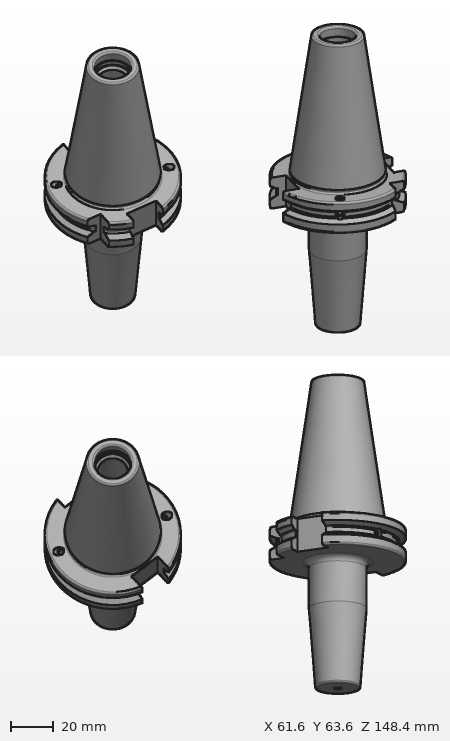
import cadquery as cq
import math


overall_length = 148.4
taper_length = 68.4
top_z = taper_length
nose_z = top_z - overall_length

gauge_radius = 22.3
taper_slope = 3.5 / 24
taper_top_radius = gauge_radius - taper_slope * taper_length
taper_end_z = -1.0
taper_end_radius = gauge_radius - taper_slope * taper_end_z
end_rounding = 1.0

neck_radius = 22.1
neck_start_z = -2.1
neck_fillet = 0.9

flange_radius = 31.8
flange_top_z = -3.3
flange_bottom_z = -19.1
flange_rounding = 1.0
groove_floor_radius = 28.0
groove_floor_width = 3.5
groove_floor_fillet = 0.6
groove_flank_start_radius = 28.8
groove_center_z = -11.0
groove_flank_angle = 30.0

shank_radius = 13.5
shank_fillet = 3.0
nose_length = 38.5
nose_radius = 10.5
shank_end_z = nose_z + nose_length

slot_width = 16.0
left_slot_offset = 22.9
right_slot_offset = 25.0
notch_offset = 18.5

bore_radius = 8.5
bore_mouth_rounding = 1.0
bore_depth = 8.3
relief_radius = 8.9
relief_start_depth = 5.3
thread_radius = 7.0
thread_depth = 35.6
drill_half_angle = 59.0
channel_radius = 2.5
channel_length = 14.8
through_radius = 1.6

coolant_radius = 2.1
coolant_mouth_depth = 2.2
coolant_passage_radius = 1.2
coolant_pitch_radius = 26.9
coolant_tilt = 35.0
coolant_angles = (70.0, 250.0)


def make_body():
    """Revolve the outer profile of the taper, flange, shank and nose."""
    flank_height = (flange_radius - groove_flank_start_radius) * math.tan(math.radians(groove_flank_angle))
    floor_top_z = groove_center_z + groove_floor_width / 2
    floor_bottom_z = groove_center_z - groove_floor_width / 2
    profile = (
        cq.Workplane("XZ")
        .moveTo(0, top_z)
        .lineTo(taper_top_radius, top_z)
        .lineTo(taper_end_radius, taper_end_z)
        .lineTo(neck_radius, neck_start_z)
        .lineTo(neck_radius, flange_top_z + neck_fillet)
        .radiusArc((neck_radius + neck_fillet, flange_top_z), -neck_fillet)
        .lineTo(flange_radius, flange_top_z)
        .lineTo(flange_radius, floor_top_z + flank_height)
        .lineTo(groove_flank_start_radius, floor_top_z)
        .lineTo(groove_floor_radius + groove_floor_fillet, floor_top_z)
        .radiusArc((groove_floor_radius, floor_top_z - groove_floor_fillet), -groove_floor_fillet)
        .lineTo(groove_floor_radius, floor_bottom_z + groove_floor_fillet)
        .radiusArc((groove_floor_radius + groove_floor_fillet, floor_bottom_z), -groove_floor_fillet)
        .lineTo(groove_flank_start_radius, floor_bottom_z)
        .lineTo(flange_radius, floor_bottom_z - flank_height)
        .lineTo(flange_radius, flange_bottom_z)
        .lineTo(shank_radius + shank_fillet, flange_bottom_z)
        .radiusArc((shank_radius, flange_bottom_z - shank_fillet), -shank_fillet)
        .lineTo(shank_radius, shank_end_z)
        .lineTo(nose_radius, nose_z)
        .lineTo(0, nose_z)
        .close()
    )
    body = profile.revolve(360, (0, 0, 0), (0, 1, 0))
    body = body.faces(">Z or <Z").edges().fillet(end_rounding)
    return round_flange_rims(body)


def round_flange_rims(body):
    """Round the outermost edge of the flange on its upper and lower faces."""
    reach = flange_rounding / 2
    for rim_z in (flange_top_z, flange_bottom_z):
        rim = cq.selectors.BoxSelector(
            (-flange_radius - reach, -flange_radius - reach, rim_z - reach),
            (flange_radius + reach, flange_radius + reach, rim_z + reach),
            boundingbox=True,
        )
        outer_rim = body.edges(rim).edges(cq.selectors.RadiusNthSelector(-1))
        body = outer_rim.fillet(flange_rounding)
    return body


def make_bore():
    """Revolve the stepped bore: rounded mouth, relief, thread core, drill cone and coolant channel."""
    cone_depth = (thread_radius - channel_radius) / math.tan(math.radians(drill_half_angle))
    bore_end_z = top_z - bore_depth
    thread_start_z = bore_end_z - (bore_radius - thread_radius)
    thread_end_z = top_z - thread_depth
    channel_z = thread_end_z - cone_depth
    ledge_z = channel_z - channel_length
    return (
        cq.Workplane("XZ")
        .moveTo(0, top_z)
        .lineTo(bore_radius + bore_mouth_rounding, top_z)
        .radiusArc((bore_radius, top_z - bore_mouth_rounding), -bore_mouth_rounding)
        .lineTo(bore_radius, top_z - relief_start_depth)
        .lineTo(relief_radius, top_z - relief_start_depth)
        .lineTo(relief_radius, bore_end_z)
        .lineTo(bore_radius, bore_end_z)
        .lineTo(thread_radius, thread_start_z)
        .lineTo(thread_radius, thread_end_z)
        .lineTo(channel_radius, channel_z)
        .lineTo(channel_radius, ledge_z)
        .lineTo(through_radius, ledge_z)
        .lineTo(through_radius, nose_z)
        .lineTo(0, nose_z)
        .close()
        .revolve(360, (0, 0, 0), (0, 1, 0))
    )


def make_flange_block(x_min, x_max, y_min, y_max):
    """Cutting block spanning the full flange height between the given limits."""
    height = flange_top_z - flange_bottom_z
    return (
        cq.Workplane("XY", origin=(x_min, y_min, flange_bottom_z))
        .box(x_max - x_min, y_max - y_min, height, centered=False)
    )


def make_stepped_hole(mouth, bottom, outside_length):
    """Passage from the bottom point to the mouth point, with a wide mouth that runs on outside."""
    outward = mouth.sub(bottom).normalized()
    passage_length = mouth.sub(bottom).Length
    mouth_floor = mouth.sub(outward.multiply(coolant_mouth_depth))
    mouth_length = coolant_mouth_depth + outside_length
    passage = cq.Solid.makeCylinder(coolant_passage_radius, passage_length, bottom, outward)
    wide_mouth = cq.Solid.makeCylinder(coolant_radius, mouth_length, mouth_floor, outward)
    return cq.Workplane(passage).union(cq.Workplane(wide_mouth))


def make_coolant_hole(angle):
    """Tilted and radial holes that meet inside the flange, at an angle around the axis from +X."""
    drop = flange_top_z - groove_center_z
    meeting_radius = coolant_pitch_radius - drop * math.tan(math.radians(coolant_tilt))
    meeting_point = cq.Vector(meeting_radius, 0, groove_center_z)
    face_mouth = cq.Vector(coolant_pitch_radius, 0, flange_top_z)
    groove_mouth = cq.Vector(groove_floor_radius, 0, groove_center_z)
    tilted = make_stepped_hole(face_mouth, meeting_point, coolant_radius)
    radial = make_stepped_hole(groove_mouth, meeting_point, flange_radius - groove_floor_radius)
    return tilted.union(radial).rotate((0, 0, 0), (0, 0, 1), angle)


result = make_body().cut(make_bore())

half_slot = slot_width / 2
result = result.cut(make_flange_block(-flange_radius, -left_slot_offset, -half_slot, half_slot))
result = result.cut(make_flange_block(right_slot_offset, flange_radius, -half_slot, half_slot))

result = result.cut(make_flange_block(notch_offset, flange_radius, -flange_radius, -notch_offset))

for coolant_angle in coolant_angles:
    result = result.cut(make_coolant_hole(coolant_angle))